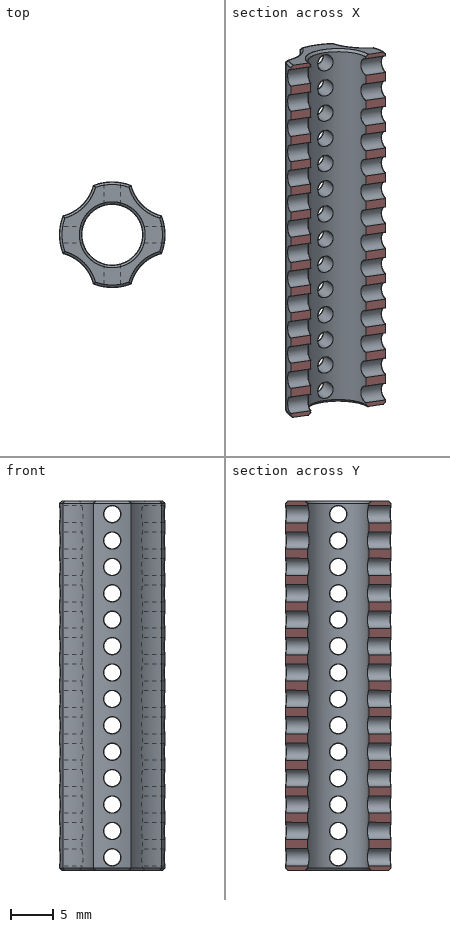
import cadquery as cq

outer_diameter = 12.5
bore_diameter = 7.2
hole_diameter = 2.0
hole_pitch = 3.125
hole_count = 14
flute_radius = 5.0
flute_axis_radius = 10.0
edge_chamfer = 0.3

lobe_count = 4
lobe_angle = 360.0 / lobe_count
length = hole_count * hole_pitch
outer_radius = outer_diameter / 2
bore_radius = bore_diameter / 2


def make_fluted_body():
    """Round bar with a concave flute between each pair of lobes, chamfered at both ends."""
    body = cq.Workplane("XY").circle(outer_radius).extrude(length)
    flutes = (
        cq.Workplane("XY")
        .polarArray(flute_axis_radius, lobe_angle / 2, 360, lobe_count)
        .circle(flute_radius)
        .extrude(length)
    )
    return body.cut(flutes).faces("<Z or >Z").chamfer(edge_chamfer)


def make_bore():
    """Through bore along Z with a chamfer at each mouth."""
    mouth_radius = bore_radius + edge_chamfer
    profile = [
        (0, 0),
        (mouth_radius, 0),
        (bore_radius, edge_chamfer),
        (bore_radius, length - edge_chamfer),
        (mouth_radius, length),
        (0, length),
    ]
    return cq.Workplane("XZ").polyline(profile).close().revolve(360, (0, 0), (0, 1))


def make_cross_holes(plane_name):
    """Column of evenly spaced holes passing through two opposite lobes."""
    centers = [(0, (index + 0.5) * hole_pitch) for index in range(hole_count)]
    return (
        cq.Workplane(plane_name)
        .pushPoints(centers)
        .circle(hole_diameter / 2)
        .extrude(outer_radius, both=True)
    )


result = make_fluted_body().cut(make_bore())
for hole_plane in ("XZ", "YZ"):
    result = result.cut(make_cross_holes(hole_plane))